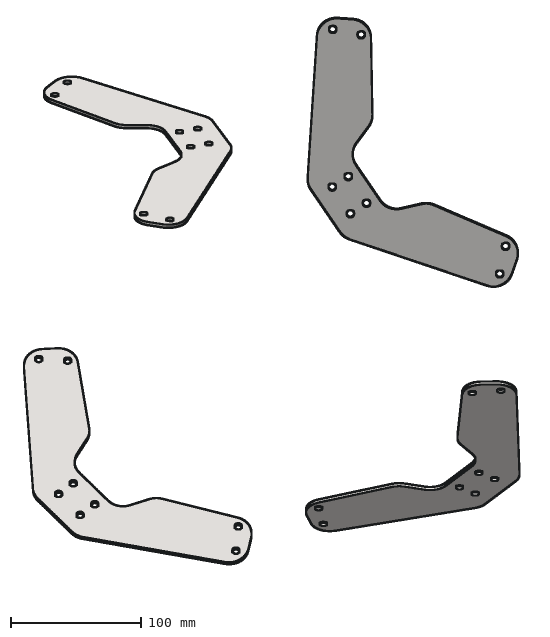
import cadquery as cq

thickness = 3.0
corner_radius = 15.0
hole_diameter = 5.7

top_corner = (25.0, 53.5)
outer_tip = (130.1, -26.5)
lower_tip = (105.4, -58.8)
inner_knee = (38.5, -15.9)
bridge_corner = (27.3, 14.0)

bridge_hole_x = 12.6
bridge_hole_rows = (38.7, 23.8)
tip_holes = ((115.8, -30.5), (100.2, -46.4))


def mirrored(points):
    """Return the points reflected across the YZ plane."""
    return [(-x, y) for x, y in points]


def make_plate():
    """V-shaped plate with every corner rounded alike."""
    right_half = [top_corner, outer_tip, lower_tip, inner_knee, bridge_corner]
    outline = right_half + mirrored(reversed(right_half))
    plate = cq.Workplane("XY").polyline(outline).close().extrude(thickness)
    return plate.edges("|Z").fillet(corner_radius)


def cut_holes(plate):
    """Drill the bridge and arm-tip holes through the plate."""
    right_holes = [(bridge_hole_x, y) for y in bridge_hole_rows] + list(tip_holes)
    hole_places = right_holes + mirrored(right_holes)
    drills = cq.Workplane("XY").pushPoints(hole_places).circle(hole_diameter / 2).extrude(thickness)
    return plate.cut(drills)


result = cut_holes(make_plate())